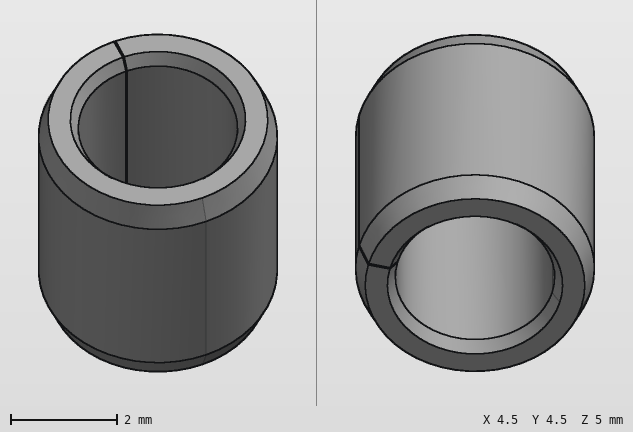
import cadquery as cq
import math

length = 5.0
outer_radius = 2.25
bore_radius = 1.5

taper_height = 0.5
taper_angle = 20.0
end_radius = outer_radius - taper_height * math.tan(math.radians(taper_angle))

bore_chamfer_depth = 0.25
bore_mouth_radius = 1.65

slit_angle = 1.0
slit_reach = 2 * outer_radius

half_length = length / 2
taper_z = half_length - taper_height
chamfer_z = half_length - bore_chamfer_depth


def make_sleeve():
    """Revolve the wall section, given as radius and height, about Z."""
    section = [
        (bore_radius, -chamfer_z),
        (bore_mouth_radius, -half_length),
        (end_radius, -half_length),
        (outer_radius, -taper_z),
        (outer_radius, taper_z),
        (end_radius, half_length),
        (bore_mouth_radius, half_length),
        (bore_radius, chamfer_z),
    ]
    return cq.Workplane("XZ").polyline(section).close().revolve(360, (0, 0, 0), (0, 1, 0))


def make_slit():
    """Thin wedge with its apex on the axis and one flat face on the XZ plane."""
    angle = math.radians(slit_angle)
    wedge = [
        (0, 0),
        (-slit_reach, 0),
        (-slit_reach, slit_reach * math.tan(angle)),
    ]
    return cq.Workplane("XY").polyline(wedge).close().extrude(half_length, both=True)


result = make_sleeve().cut(make_slit())